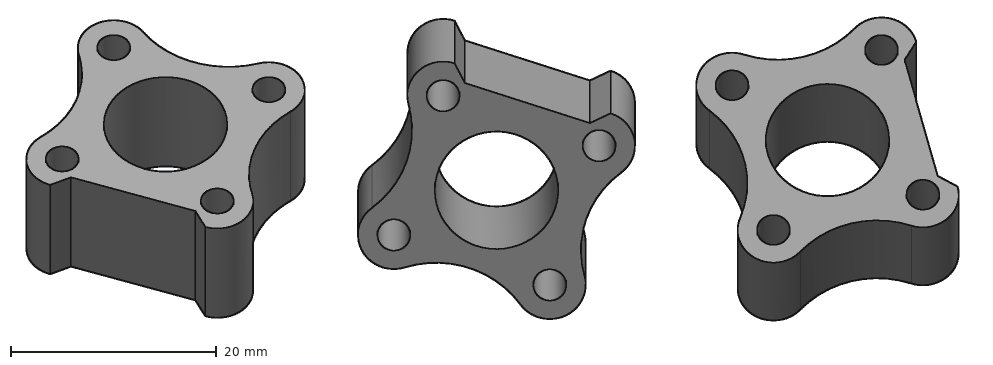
import cadquery as cq
import math

length = 23.0
width = 22.0
height = 13.5

lobe_radius = 3.5
bolt_x = length / 2 - lobe_radius
bolt_y = width / 2 - lobe_radius
bolt_diameter = 3.2
bore_diameter = 12.0

waist_radius = 10.0

front_flat_half_length = 6.41
front_recess = bolt_x - front_flat_half_length
front_flat_y = -width / 2 + front_recess

center_distance = lobe_radius + waist_radius
side_center_x = bolt_x + math.sqrt(center_distance**2 - bolt_y**2)
back_center_y = bolt_y + math.sqrt(center_distance**2 - bolt_x**2)
side_waist_x = side_center_x - waist_radius
back_waist_y = back_center_y - waist_radius

lobe_share = lobe_radius / center_distance
side_tangent_x = bolt_x + (side_center_x - bolt_x) * lobe_share
side_tangent_y = bolt_y * (1 - lobe_share)
back_tangent_x = bolt_x * (1 - lobe_share)
back_tangent_y = bolt_y + (back_center_y - bolt_y) * lobe_share


def lobe_point(x_sign, y_sign):
    """Outermost diagonal point of a corner lobe."""
    offset = lobe_radius * math.sqrt(0.5)
    return (x_sign * (bolt_x + offset), y_sign * (bolt_y + offset))


def make_body():
    """Extrude the lobed outline, counterclockwise from the front flat."""
    return (
        cq.Workplane("XY")
        .moveTo(-front_flat_half_length, front_flat_y)
        .lineTo(front_flat_half_length, front_flat_y)
        .lineTo(bolt_x, -width / 2)
        .threePointArc(lobe_point(1, -1), (side_tangent_x, -side_tangent_y))
        .threePointArc((side_waist_x, 0), (side_tangent_x, side_tangent_y))
        .threePointArc(lobe_point(1, 1), (back_tangent_x, back_tangent_y))
        .threePointArc((0, back_waist_y), (-back_tangent_x, back_tangent_y))
        .threePointArc(lobe_point(-1, 1), (-side_tangent_x, side_tangent_y))
        .threePointArc((-side_waist_x, 0), (-side_tangent_x, -side_tangent_y))
        .threePointArc(lobe_point(-1, -1), (-bolt_x, -width / 2))
        .close()
        .extrude(height)
    )


def make_holes():
    """Central bore and four bolt holes, all through the full height."""
    bore = cq.Workplane("XY").circle(bore_diameter / 2).extrude(height)
    bolts = (
        cq.Workplane("XY")
        .rect(2 * bolt_x, 2 * bolt_y, forConstruction=True)
        .vertices()
        .circle(bolt_diameter / 2)
        .extrude(height)
    )
    return bore.union(bolts)


result = make_body().cut(make_holes())